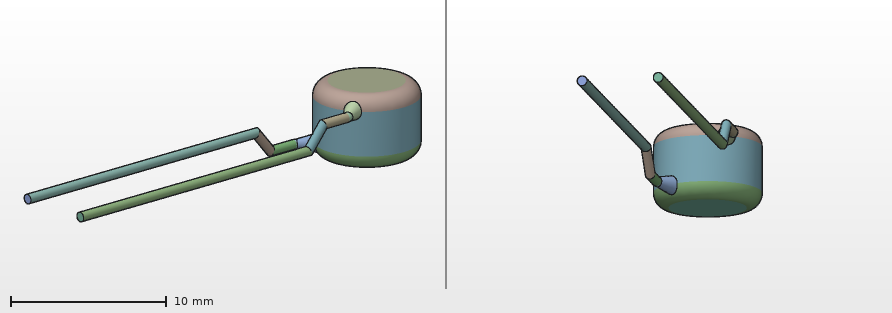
import cadquery as cq
import math

housing_diameter = 7.0
housing_height = 5.0
edge_radius = 1.0

overall_length = 30.8
wire_diameter = 0.65
lead_spacing = 5.0
lead_offset = 1.5
splay_angle = 32.0
elbow_radius = 0.37
elbow_end = -4.1
crank_start = -6.1
crank_end = -7.4

collar_diameter = 1.15
collar_taper_length = 1.08
collar_reach = 1.63

lead_x = -lead_spacing / 2
lead_z = -lead_offset
lead_end = housing_diameter / 2 - overall_length


def elbow_point(angle):
    """Point on the elbow arc after it has turned by an angle, in degrees, from the Y axis."""
    turn = math.radians(angle)
    x = lead_x + elbow_radius * (1 - math.cos(turn))
    y = elbow_end + elbow_radius * math.sin(turn)
    return cq.Vector(x, y, lead_z)


splay = math.radians(splay_angle)
exit_direction = cq.Vector(math.sin(splay), math.cos(splay), 0)
wire_start = elbow_point(splay_angle)


def make_housing():
    """Cylinder with both rims rounded."""
    disc = cq.Workplane("XY").cylinder(housing_height, housing_diameter / 2)
    return disc.faces("|Z").edges().fillet(edge_radius).val()


def make_lead():
    """Left wire: a rounded elbow, a straight, a mitred crank to the middle plane and a long straight."""
    elbow_points = [elbow_point(angle) for angle in (splay_angle, splay_angle / 2, 0)]
    elbow = cq.Edge.makeThreePointArc(*elbow_points)
    corners = [
        elbow_point(0),
        cq.Vector(lead_x, crank_start, lead_z),
        cq.Vector(lead_x, crank_end, 0),
        cq.Vector(lead_x, lead_end, 0),
    ]
    straights = [cq.Edge.makeLine(start, end) for start, end in zip(corners, corners[1:])]
    centreline = cq.Wire.assembleEdges([elbow] + straights)
    section = cq.Workplane(cq.Plane(wire_start, normal=-exit_direction)).circle(wire_diameter / 2)
    return section.sweep(cq.Workplane(centreline), transition="right").val()


def make_collar(housing):
    """Left collar: a cone from the wire diameter up to the housing surface, where it ends."""
    taper = (collar_diameter - wire_diameter) / 2 / collar_taper_length
    root_radius = wire_diameter / 2 + taper * collar_reach
    cone = cq.Solid.makeCone(wire_diameter / 2, root_radius, collar_reach, wire_start, exit_direction)
    return cq.Workplane(cone).cut(cq.Workplane(housing)).solids().val()


housing = make_housing()
collars = []
leads = []
for side_angle in (0, 180):
    collars.append(make_collar(housing).rotate((0, 0, 0), (0, 1, 0), side_angle))
    leads.append(make_lead().rotate((0, 0, 0), (0, 1, 0), side_angle))

result = cq.Compound.makeCompound([housing, *collars, *leads])